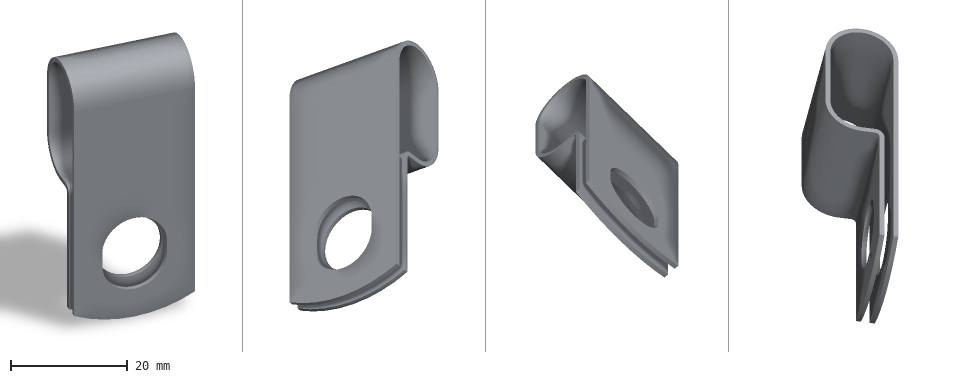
import cadquery as cq
import math

strip_width = 22.23
overall_height = 50.0
loop_inner_width = 11.0
thickness = 0.865
loop_outer_height = 23.8
leg_gap = 1.55
bend_inner_radius = 0.8
hole_diameter = 11.9
slot_straight = 2.3
hole_height = 12.7
tip_radius = 25.4

inner_radius = loop_inner_width / 2
outer_radius = inner_radius + thickness
bend_outer_radius = bend_inner_radius + thickness
crown_z = outer_radius
tip_z = crown_z - overall_height
floor_under_z = crown_z - loop_outer_height
floor_top_z = floor_under_z + thickness
lower_arc_z = floor_under_z + outer_radius
bend_z = floor_top_z - bend_outer_radius
front_leg_inner_x = inner_radius - leg_gap
front_leg_outer_x = front_leg_inner_x - thickness
bend_x = front_leg_inner_x - bend_outer_radius
split_x = inner_radius - leg_gap / 2
hole_z = tip_z + hole_height


def arc_middle(center_x, center_z, radius, angle_degrees):
    """Point on an arc, used as the middle point of a three-point arc."""
    angle = math.radians(angle_degrees)
    return (center_x + radius * math.cos(angle), center_z + radius * math.sin(angle))


def make_strip():
    """Bent strip: back leg, crown, loop side, loop floor and front leg."""
    return (
        cq.Workplane("XZ")
        .moveTo(outer_radius, tip_z)
        .lineTo(outer_radius, 0)
        .threePointArc((0, outer_radius), (-outer_radius, 0))
        .lineTo(-outer_radius, lower_arc_z)
        .threePointArc(arc_middle(0, lower_arc_z, outer_radius, 225), (0, floor_under_z))
        .lineTo(bend_x, floor_under_z)
        .threePointArc(
            arc_middle(bend_x, bend_z, bend_inner_radius, 45),
            (front_leg_outer_x, bend_z),
        )
        .lineTo(front_leg_outer_x, tip_z)
        .lineTo(front_leg_inner_x, tip_z)
        .lineTo(front_leg_inner_x, bend_z)
        .threePointArc(
            arc_middle(bend_x, bend_z, bend_outer_radius, 45),
            (bend_x, floor_top_z),
        )
        .lineTo(0, floor_top_z)
        .threePointArc(arc_middle(0, lower_arc_z, inner_radius, 225), (-inner_radius, lower_arc_z))
        .lineTo(-inner_radius, 0)
        .threePointArc((0, inner_radius), (inner_radius, 0))
        .lineTo(inner_radius, tip_z)
        .close()
        .extrude(strip_width / 2, both=True)
    )


def make_side_outline():
    """Block with the strip's side outline, its lower end rounded to the tip radius."""
    half_width = strip_width / 2
    tip_center_z = tip_z + tip_radius
    corner_z = tip_center_z - math.sqrt(tip_radius**2 - half_width**2)
    return (
        cq.Workplane("YZ")
        .moveTo(-half_width, crown_z)
        .lineTo(-half_width, corner_z)
        .threePointArc((0, tip_z), (half_width, corner_z))
        .lineTo(half_width, crown_z)
        .close()
        .extrude(outer_radius, both=True)
    )


def make_round_hole():
    """Cylinder that cuts the round screw hole through the front leg."""
    return (
        cq.Workplane("YZ", origin=(bend_x, 0, hole_z))
        .circle(hole_diameter / 2)
        .extrude(split_x - bend_x)
    )


def make_slot():
    """Upright obround that cuts the adjustment slot through the back leg."""
    return (
        cq.Workplane("YZ", origin=(split_x, 0, hole_z))
        .slot2D(hole_diameter + slot_straight, hole_diameter, 90)
        .extrude(outer_radius - split_x)
    )


result = (
    make_strip()
    .intersect(make_side_outline())
    .cut(make_round_hole())
    .cut(make_slot())
)